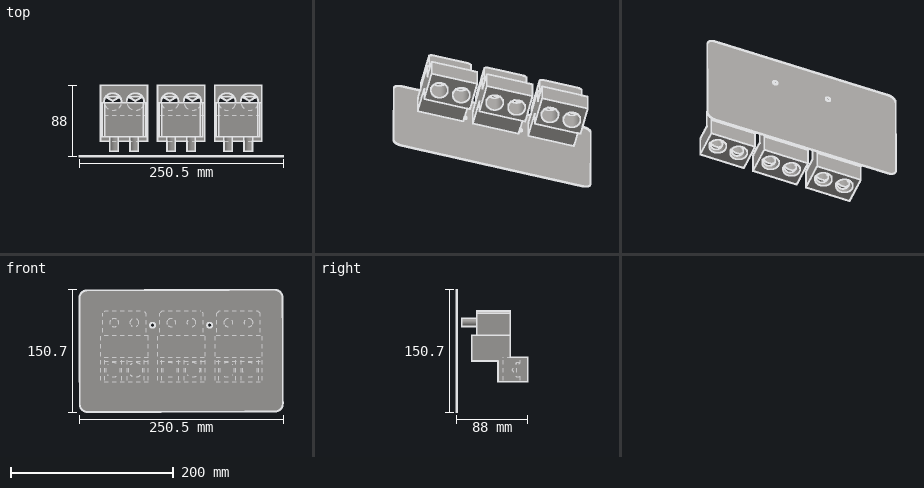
import cadquery as cq
import math

overall_width = 250.5
plate_height = 150.0
plate_thickness = 1.0
plate_corner_radius = 10.0
plate_tilt = 0.17
corner_centre_height = plate_height - 2 * plate_corner_radius
corner_centre_extent = overall_width - 2 * plate_corner_radius
corner_centre_width = (
    corner_centre_extent - corner_centre_height * math.sin(math.radians(plate_tilt))
) / math.cos(math.radians(plate_tilt))
plate_width = corner_centre_width + 2 * plate_corner_radius
plate_hole_diameter = 6.0
plate_hole_height = 31.5

module_count = 3
module_pitch = 70.0

block_width = 58.0
block_top = 19.3
upper_front = 18.8
upper_back = 66.4
upper_bottom = -12.5
lower_front = 51.0
lower_back = 88.0
lower_top = -7.8
lower_bottom = -38.0

bore_spacing = 27.8
bore_radius = 10.5
bore_centre = 67.5
stud_radius = 9.0
stud_shoulder = 73.5
stud_point_length = 5.3
stud_height = (lower_top + lower_bottom) / 2

head_width = 53.5
head_front = 24.8
head_back = upper_back
head_top = 49.3
head_chamfer = 3.0
pin_spacing = 24.8
pin_radius = 5.3
pin_end = 6.5
pin_height = 35.0


def span_box(width, front, back, bottom, top):
    """Box centred on X = 0 that spans the given Y and Z limits."""
    box = cq.Workplane("XY").box(width, back - front, top - bottom, centered=(True, False, False))
    return box.translate((0, front, bottom))


def rod(radius, x, z, start, end):
    """Cylinder along Y from start to end."""
    base = cq.Vector(x, start, z)
    return cq.Workplane(cq.Solid.makeCylinder(radius, end - start, base, cq.Vector(0, 1, 0)))


def pair(spacing):
    """X positions of two features set evenly about X = 0."""
    return (-spacing / 2, spacing / 2)


def make_plate():
    plate = span_box(plate_width, 0, plate_thickness, -plate_height / 2, plate_height / 2)
    plate = plate.edges("|Y").fillet(plate_corner_radius)
    plate = plate.rotate((0, 0, 0), (0, 1, 0), -plate_tilt)
    for x in pair(module_pitch):
        plate = plate.cut(rod(plate_hole_diameter / 2, x, plate_hole_height, 0, plate_thickness))
    return plate


def make_stud(x):
    """Cylinder that grows out of the bore's back wall and ends in a point on its axis."""
    shaft = rod(stud_radius, x, stud_height, stud_shoulder, bore_centre + bore_radius)
    point = cq.Solid.makeCone(
        stud_radius, 0, stud_point_length,
        cq.Vector(x, stud_shoulder, stud_height), cq.Vector(0, -1, 0),
    )
    return shaft.union(cq.Workplane(point))


def make_block():
    upper = span_box(block_width, upper_front, upper_back, upper_bottom, block_top)
    lower = span_box(block_width, lower_front, lower_back, lower_bottom, lower_top)
    block = upper.union(lower)
    for x in pair(bore_spacing):
        bore = cq.Workplane("XY").circle(bore_radius).extrude(lower_top - lower_bottom)
        block = block.cut(bore.translate((x, bore_centre, lower_bottom)))
        block = block.union(make_stud(x))
    return block


def make_head():
    head = span_box(head_width, head_front, head_back, block_top, head_top)
    head = head.edges("|Y and >Z").chamfer(head_chamfer)
    for x in pair(pin_spacing):
        head = head.union(rod(pin_radius, x, pin_height, pin_end, head_front))
    return head


bodies = [make_plate().val()]
for index in range(module_count):
    offset = ((index - (module_count - 1) / 2) * module_pitch, 0, 0)
    bodies.append(make_block().translate(offset).val())
    bodies.append(make_head().translate(offset).val())

result = cq.Compound.makeCompound(bodies)